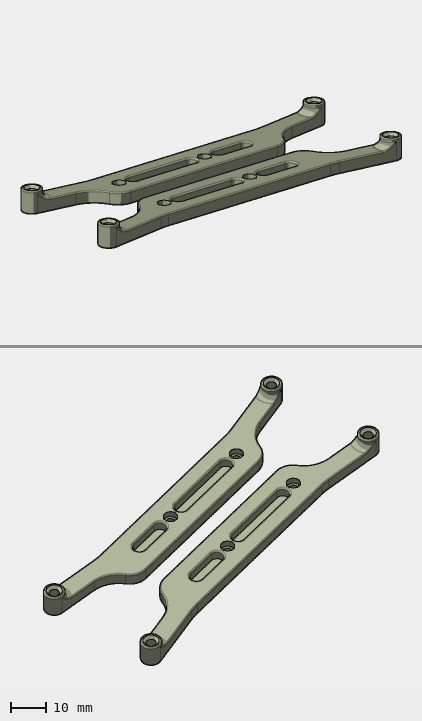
import cadquery as cq
import math

length = 109.9
width = 40.1
height = 7.0
plate_height = 4.0
inner_edge_x = 3.1
edge_radius = 0.4

boss_radius = 6.2 / 2
boss_x = width / 2 - boss_radius
boss_y = length / 2 - boss_radius
boss_hole_diameter = 2.9
boss_sink_diameter = 4.6
boss_sink_angle = 90
blend_radius = 2.0

arm_angle = math.radians(8.6)
arm_length = 12.7
outer_bend_radius = 20.0
neck_radius = 10.0
shoulder_radius = 5.8

feature_x = 10.0
screw_ys = (5.8, -25.6)
screw_diameter = 2.4
screw_head_diameter = 4.0
screw_head_depth = 2.0
slot_width = 4.0
slot_depth = 3.0
slot_edge_radius = 0.5
slot_screw_gap = 3.1
slot_top_y = 22.6

tolerance = 0.001


def polar(center, radius, angle):
    """Point at the given distance and direction from a centre."""
    return (center[0] + radius * math.cos(angle), center[1] + radius * math.sin(angle))


def outline_prism(prism_height):
    """Upright prism on the outline of the +X bracket, built as one half and its mirror image."""
    boss = (boss_x, boss_y)
    outward = -arm_angle
    inward = math.pi - arm_angle

    corner_y = boss_y - boss_radius / math.sin(arm_angle)
    bend_y = corner_y - outer_bend_radius * math.tan(arm_angle / 2)
    bend = (boss_x + outer_bend_radius, bend_y)

    arm_start = polar(boss, boss_radius, inward)
    arm_end = polar(arm_start, arm_length, inward + math.pi / 2)
    neck = polar(arm_end, neck_radius, inward)

    shoulder_x = inner_edge_x + shoulder_radius
    neck_to_shoulder = neck_radius + shoulder_radius
    shoulder_y = neck[1] - math.sqrt(neck_to_shoulder**2 - (shoulder_x - neck[0]) ** 2)
    shoulder = (shoulder_x, shoulder_y)
    neck_end = math.atan2(shoulder_y - neck[1], shoulder_x - neck[0])
    shoulder_start = neck_end + math.pi

    half = (
        cq.Workplane("XY")
        .moveTo(boss_x, 0)
        .lineTo(boss_x, bend_y)
        .threePointArc(
            polar(bend, outer_bend_radius, math.pi - arm_angle / 2),
            polar(bend, outer_bend_radius, math.pi - arm_angle),
        )
        .lineTo(*polar(boss, boss_radius, outward))
        .threePointArc(polar(boss, boss_radius, outward + math.pi / 2), arm_start)
        .lineTo(*arm_end)
        .threePointArc(
            polar(neck, neck_radius, (neck_end - arm_angle) / 2),
            polar(neck, neck_radius, neck_end),
        )
        .threePointArc(
            polar(shoulder, shoulder_radius, (shoulder_start + math.pi) / 2),
            (inner_edge_x, shoulder_y),
        )
        .lineTo(inner_edge_x, 0)
        .close()
        .extrude(prism_height)
    )
    return half.union(half.mirror("XZ")).clean()


def boss_with_blend(y):
    """Boss cylinder flaring onto the plate through a hollow quarter-round."""
    reach = boss_radius + blend_radius
    slant = blend_radius * (1 - math.sqrt(0.5))
    return (
        cq.Workplane("XZ")
        .lineTo(reach, 0)
        .lineTo(reach, plate_height)
        .threePointArc(
            (boss_radius + slant, plate_height + slant),
            (boss_radius, plate_height + blend_radius),
        )
        .lineTo(boss_radius, height)
        .lineTo(0, height)
        .close()
        .revolve(360, (0, 0), (0, 1))
        .translate((boss_x, y, 0))
    )


def is_plate_rim(edge):
    """True along the outline at the plate top and up the sides of the blends."""
    box = edge.BoundingBox()
    if box.zmin < plate_height - tolerance or box.zmax > height - tolerance:
        return False
    if edge.geomType() != "CIRCLE":
        return True
    center = edge.arcCenter()
    return math.hypot(center.x - boss_x, abs(center.y) - boss_y) > tolerance


def body_blank():
    """Plate with its two bosses and all outer edges rounded, before any hole is cut."""
    body = outline_prism(plate_height)
    envelope = outline_prism(height)
    for y in (boss_y, -boss_y):
        body = body.union(boss_with_blend(y).intersect(envelope))
    body = body.clean()
    rim = [edge for edge in body.edges().vals() if is_plate_rim(edge)]
    body = body.newObject(rim).fillet(edge_radius)
    body = body.faces("<Z").edges().fillet(edge_radius)
    return body.faces(">Z").edges().fillet(edge_radius)


def cut_boss_holes(body):
    """Through holes with a conical sink at the top of each boss."""
    centers = [(boss_x, boss_y), (boss_x, -boss_y)]
    return (
        body.faces(">Z")
        .workplane(origin=(0, 0, height))
        .pushPoints(centers)
        .cskHole(boss_hole_diameter, boss_sink_diameter, boss_sink_angle)
    )


def cut_screw_holes(body):
    """Through holes with a flat recess for the screw heads."""
    centers = [(feature_x, y) for y in screw_ys]
    return (
        body.faces(cq.selectors.NearestToPointSelector((feature_x, 0, plate_height)))
        .workplane(origin=(0, 0, plate_height))
        .pushPoints(centers)
        .cboreHole(screw_diameter, screw_head_diameter, screw_head_depth)
    )


def slot(low_y, high_y):
    """Cutter for a blind slot along Y, open at the plate top."""
    return (
        cq.Workplane("XY", origin=(feature_x, (low_y + high_y) / 2, plate_height))
        .slot2D(high_y - low_y, slot_width, 90)
        .extrude(-slot_depth)
    )


def cut_slots(body):
    """Two blind slots with rounded mouths, one beyond the upper screw and one between the screws."""
    upper_screw_y, lower_screw_y = screw_ys
    spans = [
        (upper_screw_y + slot_screw_gap, slot_top_y),
        (lower_screw_y + slot_screw_gap, upper_screw_y - slot_screw_gap),
    ]
    for low_y, high_y in spans:
        body = body.cut(slot(low_y, high_y))
        mouth = cq.selectors.BoxSelector(
            (feature_x - slot_width, low_y - tolerance, plate_height - tolerance),
            (feature_x + slot_width, high_y + tolerance, plate_height + tolerance),
            boundingbox=True,
        )
        body = body.edges(mouth).fillet(slot_edge_radius)
    return body


def bracket(side):
    """One bracket: side +1 lies at +X, and side -1 is its mirror image at -X."""
    body = body_blank()
    body = cut_boss_holes(body)
    body = cut_screw_holes(body)
    body = cut_slots(body)
    return body if side > 0 else body.mirror("YZ")


result = cq.Compound.makeCompound([bracket(side).val() for side in (-1, 1)])